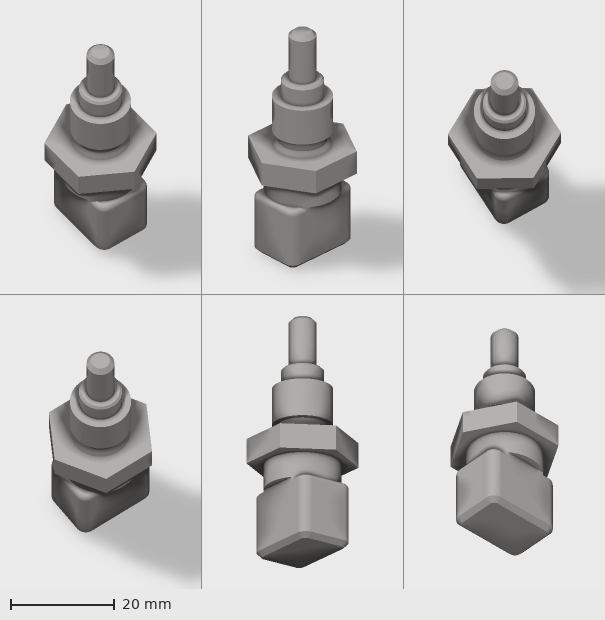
import cadquery as cq
import math

BLOCK_TOP = 13.0
HEX_BOTTOM = 18.0
HEX_TOP = 23.0
NECK_TOP = 26.2
SLEEVE_TOP = 33.75
SHOULDER_TOP = 37.75
PIN_TOP = 48.15

BLOCK_LENGTH = 16.7
BLOCK_WIDTH = 11.85
CORNER_RADIUS = 2.0
EDGE_SIZE = 1.0

HEX_ACROSS_FLATS = 18.9
HEX_ACROSS_CORNERS = HEX_ACROSS_FLATS / math.cos(math.pi / 6)
COLLAR_DIAMETER = 15.0
NECK_DIAMETER = 9.5
SLEEVE_DIAMETER = 11.85
SHOULDER_DIAMETER = 8.4
SHOULDER_CHAMFER = 0.45
PIN_DIAMETER = 5.4
PIN_CHAMFER_HEIGHT = 0.85
PIN_TIP_DIAMETER = 3.55


def cylinder(diameter, bottom, top):
    """Upright cylinder on the Z axis between two heights."""
    return cq.Workplane("XY").workplane(offset=bottom).circle(diameter / 2).extrude(top - bottom)


def connector_block():
    """Rounded block whose top rounding stops where the collar lands on it."""
    sharp_block = (
        cq.Workplane("XY")
        .rect(BLOCK_LENGTH, BLOCK_WIDTH)
        .extrude(BLOCK_TOP)
        .edges("|Z")
        .fillet(CORNER_RADIUS)
        .faces("<Z")
        .chamfer(EDGE_SIZE)
    )
    rounded_block = sharp_block.faces(">Z").edges().fillet(EDGE_SIZE)
    collar_seat = sharp_block.intersect(cylinder(COLLAR_DIAMETER, BLOCK_TOP - EDGE_SIZE, BLOCK_TOP))
    return rounded_block.union(collar_seat)


def hexagon():
    """Wrench hexagon with two corners on the X axis."""
    return (
        cq.Workplane("XY")
        .workplane(offset=HEX_BOTTOM)
        .polygon(6, HEX_ACROSS_CORNERS)
        .extrude(HEX_TOP - HEX_BOTTOM)
    )


def stem():
    """Flared neck, sleeve, shoulder and pin, turned as one profile in (radius, height)."""
    neck_radius = NECK_DIAMETER / 2
    sleeve_radius = SLEEVE_DIAMETER / 2
    shoulder_radius = SHOULDER_DIAMETER / 2
    pin_radius = PIN_DIAMETER / 2
    profile = [
        (0, HEX_TOP),
        (neck_radius + EDGE_SIZE, HEX_TOP),
        (neck_radius, HEX_TOP + EDGE_SIZE),
        (neck_radius, NECK_TOP),
        (sleeve_radius, NECK_TOP),
        (sleeve_radius, SLEEVE_TOP),
        (shoulder_radius, SLEEVE_TOP),
        (shoulder_radius, SHOULDER_TOP - SHOULDER_CHAMFER),
        (shoulder_radius - SHOULDER_CHAMFER, SHOULDER_TOP),
        (pin_radius, SHOULDER_TOP),
        (pin_radius, PIN_TOP - PIN_CHAMFER_HEIGHT),
        (PIN_TIP_DIAMETER / 2, PIN_TOP),
        (0, PIN_TOP),
    ]
    return cq.Workplane("XZ").polyline(profile).close().revolve(360, (0, 0), (0, 1))


collar = cylinder(COLLAR_DIAMETER, BLOCK_TOP, HEX_BOTTOM)
result = connector_block().union(collar).union(hexagon()).union(stem())